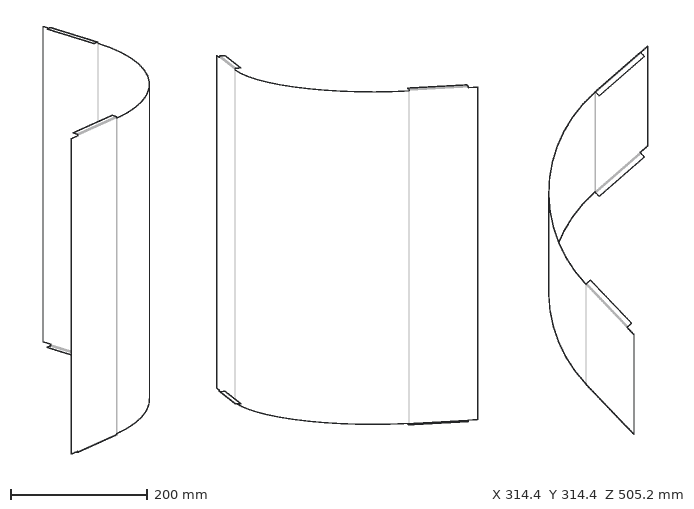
import cadquery as cq
import math

thickness = 0.6
overall_width = 314.35
sheet_height = 500.0
flat_length = 104.75
tab_length = 90.0
tab_neck = 1.0
tab_bend_inner_radius = 1.0
tab_lip = 7.5

outer_radius = overall_width - flat_length
inner_radius = outer_radius - thickness
tab_bend_outer_radius = tab_bend_inner_radius + thickness
half_height = sheet_height / 2
diagonal = math.sqrt(0.5)



def make_sheet():
    """Upright sheet: a flat along X, a quarter-round bend and a flat along Y."""
    outer_mid = outer_radius * diagonal
    inner_mid = inner_radius * diagonal
    return (
        cq.Workplane("XY", origin=(0, 0, -half_height))
        .moveTo(-flat_length, outer_radius)
        .lineTo(0, outer_radius)
        .threePointArc((outer_mid, outer_mid), (outer_radius, 0))
        .lineTo(outer_radius, -flat_length)
        .lineTo(inner_radius, -flat_length)
        .lineTo(inner_radius, 0)
        .threePointArc((inner_mid, inner_mid), (0, inner_radius))
        .lineTo(-flat_length, inner_radius)
        .close()
        .extrude(sheet_height)
    )


def make_top_tab():
    """Tab bent inward from the top edge of the flat along X, ending where the large bend starts."""
    bend_y = outer_radius - tab_bend_outer_radius
    bend_z = half_height + tab_neck
    tip_y = bend_y - tab_lip
    top_z = bend_z + tab_bend_outer_radius
    underside_z = bend_z + tab_bend_inner_radius
    outer_mid = tab_bend_outer_radius * diagonal
    inner_mid = tab_bend_inner_radius * diagonal
    return (
        cq.Workplane("YZ", origin=(-tab_length, 0, 0))
        .moveTo(outer_radius, half_height)
        .lineTo(outer_radius, bend_z)
        .threePointArc((bend_y + outer_mid, bend_z + outer_mid), (bend_y, top_z))
        .lineTo(tip_y, top_z)
        .lineTo(tip_y, underside_z)
        .lineTo(bend_y, underside_z)
        .threePointArc((bend_y + inner_mid, bend_z + inner_mid), (inner_radius, bend_z))
        .lineTo(inner_radius, half_height)
        .close()
        .extrude(tab_length)
    )


def mirror_to_other_flat(tab):
    """Copy of a tab on the other flat, mirrored in the plane X = Y."""
    quarter_turn = 90
    return tab.mirror("YZ").rotate((0, 0, 0), (0, 0, 1), -quarter_turn)


top_tab = make_top_tab()
result = make_sheet()
for tab in (top_tab, mirror_to_other_flat(top_tab)):
    result = result.union(tab).union(tab.mirror("XY"))